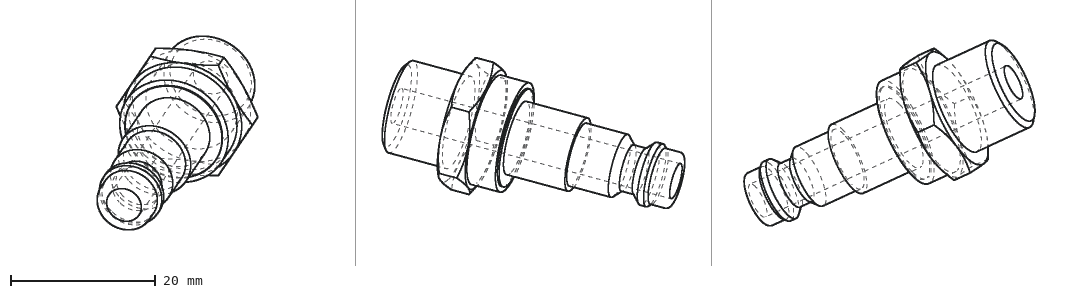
import cadquery as cq
import math

total_length = 41.0
tip_y = -total_length / 2

bore_radius = 2.5
tip_radius = 4.0
tip_rounding = 0.5
plug_radius = 4.5
neck_radius = 3.32
shank_radius = 5.25
lip_radius = 7.0
flange_radius = 7.85
connector_radius = 6.6

tip_length = 2.62
collar_length = 0.9
neck_length = 1.9
plug_length = 6.1
shank_length = 9.0
lip_length = 0.25
flange_length = 4.2

end_chamfer_length = 0.6
end_chamfer_depth = 0.75

hex_across_flats = 17.0
hex_length = 4.1
hex_bevel_angle = 30.0

collar_front_y = tip_y + tip_length + plug_radius - tip_radius
collar_back_y = collar_front_y + collar_length
neck_taper_length = plug_radius - neck_radius
neck_front_y = collar_back_y + neck_taper_length
neck_back_y = neck_front_y + neck_length
plug_front_y = neck_back_y + neck_taper_length
shank_front_y = plug_front_y + plug_length
lip_front_y = shank_front_y + shank_length
flange_front_y = lip_front_y + lip_length
hex_front_y = flange_front_y + flange_length
hex_back_y = hex_front_y + hex_length
end_y = tip_y + total_length


def revolve_about_y(profile):
    return profile.close().revolve(360, (0, 0, 0), (0, 1, 0))


def turned_body():
    """Solid stepped body with the locking groove, rounded tip and chamfered end."""
    face_radius = tip_radius - tip_rounding
    arc_offset = tip_rounding * math.sqrt(0.5)
    arc_middle = (face_radius + arc_offset, tip_y + tip_rounding - arc_offset)
    profile = (
        cq.Workplane("XY")
        .moveTo(0, tip_y)
        .lineTo(face_radius, tip_y)
        .threePointArc(arc_middle, (tip_radius, tip_y + tip_rounding))
        .lineTo(tip_radius, tip_y + tip_length)
        .lineTo(plug_radius, collar_front_y)
        .lineTo(plug_radius, collar_back_y)
        .lineTo(neck_radius, neck_front_y)
        .lineTo(neck_radius, neck_back_y)
        .lineTo(plug_radius, plug_front_y)
        .lineTo(plug_radius, shank_front_y)
        .lineTo(shank_radius, shank_front_y)
        .lineTo(shank_radius, lip_front_y)
        .lineTo(lip_radius, lip_front_y)
        .lineTo(lip_radius, flange_front_y)
        .lineTo(flange_radius, flange_front_y)
        .lineTo(flange_radius, hex_front_y)
        .lineTo(connector_radius, hex_front_y)
        .lineTo(connector_radius, end_y - end_chamfer_length)
        .lineTo(connector_radius - end_chamfer_depth, end_y)
        .lineTo(0, end_y)
    )
    return revolve_about_y(profile)


def hexagon():
    """Hexagon whose corners are bevelled by a cone at both ends."""
    corner_diameter = hex_across_flats / math.cos(math.pi / 6)
    prism = (
        cq.Workplane("XZ", origin=(0, hex_front_y, 0))
        .polygon(6, corner_diameter)
        .extrude(-hex_length)
    )
    bevel_radius = hex_across_flats / 2
    envelope_margin = 0.4
    envelope_radius = corner_diameter / 2 + envelope_margin
    bevel_length = (envelope_radius - bevel_radius) * math.tan(math.radians(hex_bevel_angle))
    envelope_profile = (
        cq.Workplane("XY")
        .moveTo(0, hex_front_y)
        .lineTo(bevel_radius, hex_front_y)
        .lineTo(envelope_radius, hex_front_y + bevel_length)
        .lineTo(envelope_radius, hex_back_y - bevel_length)
        .lineTo(bevel_radius, hex_back_y)
        .lineTo(0, hex_back_y)
    )
    return prism.intersect(revolve_about_y(envelope_profile))


def through_bore():
    return cq.Workplane("XZ", origin=(0, tip_y, 0)).circle(bore_radius).extrude(-total_length)


result = turned_body().union(hexagon()).cut(through_bore())